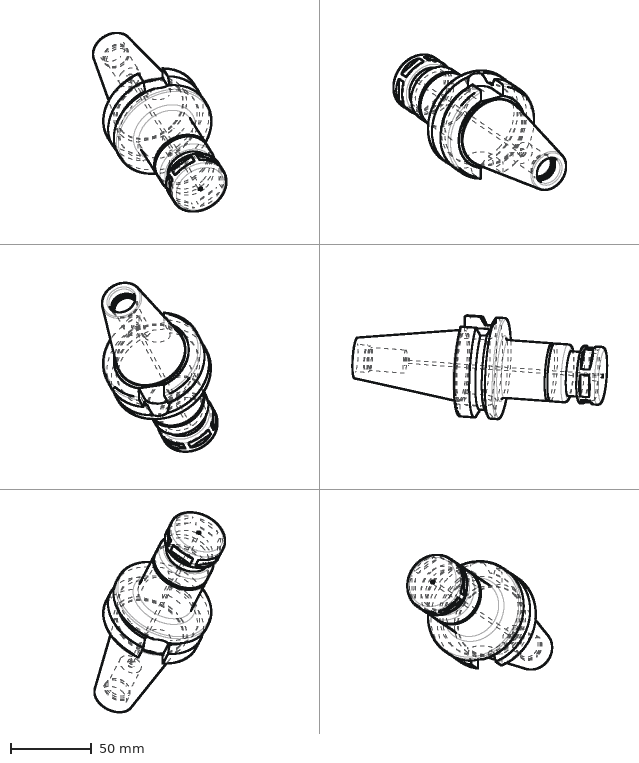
import cadquery as cq
import math

overall_length = 155.4
gauge_diameter = 44.5
shank_length = 65.1
taper_ratio = 7 / 24
nose_fillet = 0.8
undercut_start = 66.4
undercut_diameter = 43.8

flange_diameter = 63.0
flange_start = 67.1
flange_end = 92.3
flange_front_fillet = 1.2
flange_rear_fillet = 1.0
face_recess_diameter = 48.2
face_recess_depth = 0.3
groove_diameter = 52.8
groove_floor_start = 79.9
groove_floor_end = 83.9
groove_flank_angle = math.radians(30)

slot_width = 16.2
slot_end = 88.1
slot_floor = 22.5

body_diameter = 36.0
body_end = 134.5
body_root_fillet = 2.5
body_end_fillet = 2.3
band_start = 122.0
band_end = 123.7
band_depth = 0.08
neck_diameter = 28.0

nut_start = 141.5
nut_rear_fillet = 1.9
nut_front_fillet = 2.2
flat_count = 6
flat_across = 32.8
flat_start = 144.4
flat_end = 149.7
flat_wall_flare = 0.8

mouth_fillet = 1.0
pilot_diameter = 17.0
pilot_depth = 6.5
thread_diameter = 16.0
thread_start = 7.0
thread_end = 8.5
core_diameter = 14.3
core_start = 9.5
core_end = 31.1
counterbore_mouth_diameter = 5.0
counterbore_diameter = 4.5
counterbore_depth = 2.3
through_diameter = 2.0


def revolve_about_x(points):
    """Revolve a closed outline of (x, radius) points about the X axis."""
    return cq.Workplane("XY").polyline(points).close().revolve(360, (0, 0, 0), (1, 0, 0))


def cylinder_along_x(diameter, start, end):
    return cq.Workplane("YZ", origin=(start, 0, 0)).circle(diameter / 2).extrude(end - start)


def circle_edge_at(solid, x, radius):
    """Select the full circle of the given radius about the X axis at x."""
    margin = 0.02
    reach = radius + margin
    slab = cq.selectors.BoxSelector(
        (x - margin, -reach, -reach), (x + margin, reach, reach), boundingbox=True
    )
    largest_circle = cq.selectors.RadiusNthSelector(-1)
    return solid.edges(slab).edges(largest_circle)


def make_turned_body():
    """Shank, flange, body and nut as one turned solid with its edges rounded."""
    gauge_radius = gauge_diameter / 2
    nose_radius = gauge_radius - shank_length * taper_ratio / 2
    undercut_radius = undercut_diameter / 2
    face_recess_radius = face_recess_diameter / 2
    face_recess_floor = flange_start + face_recess_depth
    flange_radius = flange_diameter / 2
    groove_radius = groove_diameter / 2
    flank_length = (flange_radius - groove_radius) * math.tan(groove_flank_angle)
    body_radius = body_diameter / 2
    neck_radius = neck_diameter / 2

    body = revolve_about_x([
        (0, 0),
        (0, nose_radius),
        (shank_length, gauge_radius),
        (undercut_start, gauge_radius),
        (undercut_start, undercut_radius),
        (face_recess_floor, undercut_radius),
        (face_recess_floor, face_recess_radius),
        (flange_start, face_recess_radius),
        (flange_start, flange_radius),
        (groove_floor_start - flank_length, flange_radius),
        (groove_floor_start, groove_radius),
        (groove_floor_end, groove_radius),
        (groove_floor_end + flank_length, flange_radius),
        (flange_end, flange_radius),
        (flange_end, body_radius),
        (body_end, body_radius),
        (body_end, neck_radius),
        (nut_start, neck_radius),
        (nut_start, body_radius),
        (overall_length, body_radius),
        (overall_length, 0),
    ])

    rounded_edges = [
        (0, nose_radius, nose_fillet),
        (flange_start, flange_radius, flange_front_fillet),
        (flange_end, flange_radius, flange_rear_fillet),
        (flange_end, body_radius, body_root_fillet),
        (body_end, body_radius, body_end_fillet),
        (nut_start, body_radius, nut_rear_fillet),
        (overall_length, body_radius, nut_front_fillet),
    ]
    for x, radius, fillet in rounded_edges:
        body = circle_edge_at(body, x, radius).fillet(fillet)
    return body


def make_band():
    """Shallow ring turned into the cylindrical body."""
    ring = cylinder_along_x(flange_diameter, band_start, band_end)
    return ring.cut(cylinder_along_x(body_diameter - 2 * band_depth, band_start, band_end))


def make_drive_slot():
    """Round-ended slot above the shank, open towards the small end."""
    round_center = slot_end - slot_width / 2
    height = flange_diameter / 2 - slot_floor
    return (
        cq.Workplane("XY", origin=(0, 0, slot_floor))
        .moveTo(shank_length, -slot_width / 2)
        .lineTo(round_center, -slot_width / 2)
        .threePointArc((slot_end, 0), (round_center, slot_width / 2))
        .lineTo(shank_length, slot_width / 2)
        .close()
        .extrude(height)
    )


def make_nut_flat():
    """Cutter with flared walls for one wrench flat on the +Y side of the nut."""
    floor = flat_across / 2
    rim = body_diameter / 2
    return (
        cq.Workplane("XY")
        .polyline([
            (flat_start, floor),
            (flat_start - flat_wall_flare, rim),
            (flat_end + flat_wall_flare, rim),
            (flat_end, floor),
        ])
        .close()
        .extrude(body_diameter / 2, both=True)
    )


def make_bore():
    """Cutter for the stepped bore and the small hole running on to the nut face."""
    counterbore_edge = (counterbore_mouth_diameter - counterbore_diameter) / 2
    profile = [(0, 0)]
    steps = [
        (0, pilot_diameter),
        (pilot_depth, pilot_diameter),
        (thread_start, thread_diameter),
        (thread_end, thread_diameter),
        (core_start, core_diameter),
        (core_end, core_diameter),
        (core_end, counterbore_mouth_diameter),
        (core_end + counterbore_edge, counterbore_diameter),
        (core_end + counterbore_depth, counterbore_diameter),
        (core_end + counterbore_depth, through_diameter),
        (overall_length, through_diameter),
    ]
    for x, diameter in steps:
        profile.append((x, diameter / 2))
    profile.append((overall_length, 0))
    return revolve_about_x(profile)


result = make_turned_body().cut(make_band()).cut(make_bore())
result = circle_edge_at(result, 0, pilot_diameter / 2).fillet(mouth_fillet)

slot = make_drive_slot()
for angle in (0, 180):
    result = result.cut(slot.rotate((0, 0, 0), (1, 0, 0), angle))

nut_flat = make_nut_flat()
for index in range(flat_count):
    result = result.cut(nut_flat.rotate((0, 0, 0), (1, 0, 0), index * 360 / flat_count))